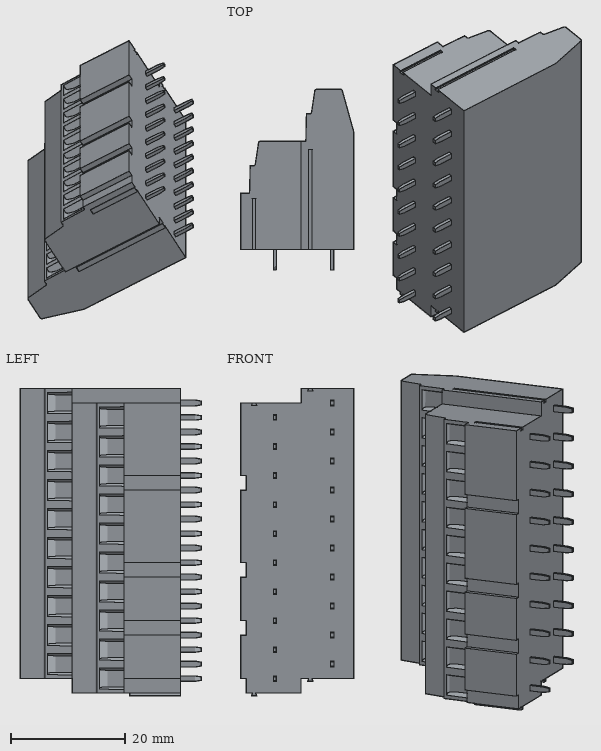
import cadquery as cq
import math


total_length = 53.85
body_depth = 19.85
body_height = 28.1
poles = 10

key_height = 0.5
pitch = (total_length - key_height) / (poles + 0.5)
half_pitch = pitch / 2
row_length = poles * pitch

row_shift_x = 9.85
pin_row_spacing = 10.0

sill_height = 9.9
sill_depth = 1.55
wall_top_x = 1.65
wall_top_y = 14.7
crest_foot_x = 2.55
crest_top_x = 3.2
crest_round = 0.4
foot_round = 0.25

edge_reach = 0.05

row_shift_y = (body_height - sill_height) / 2
row_top = sill_height + row_shift_y

upper_front_x = 10.6
rear_top_x = 17.75
rear_slope_y = 20.55

notch_depth = 0.95
notch_positions = (0, 2, 4, 7)

key_mouth_width = 0.6
key_tip_width = 0.95
lower_key_x = 2.35
lower_key_height = 8.95
upper_key_x = 12.2
upper_key_height = 17.5

entry_width = 3.75
entry_top_y = 14.2
entry_roof_round = 0.45
entry_slope_y = 12.75
entry_slope_lean = 0.3
entry_depth = 1.3
entry_side_angle = 19.5
entry_clearance = 0.25

pin_length = 3.6
pin_tip_length = 1.1
pin_root = 0.55
lower_pin_x = 6.05
lower_pin_size = (0.6, 0.95)
lower_pin_tip = (0.45, 0.65)
upper_pin_x = lower_pin_x + pin_row_spacing
upper_pin_size = (0.6, 1.1)
upper_pin_tip = (0.6, 0.7)


def row_front(upper):
    """Points up the stepped front face of a row, from the sill to the crest."""
    shift_x = row_shift_x if upper else 0
    shift_y = row_shift_y if upper else 0
    return [
        (sill_depth + shift_x, sill_height + shift_y),
        (wall_top_x + shift_x, wall_top_y + shift_y),
        (crest_foot_x + shift_x, wall_top_y + shift_y),
        (crest_top_x + shift_x, row_top + shift_y),
    ]


def round_edge(body, point, radius):
    """Round the edge along Z that passes through an XY point."""
    x, y = point
    box = cq.selectors.BoxSelector(
        (x - edge_reach, y - edge_reach, -total_length),
        (x + edge_reach, y + edge_reach, total_length),
    )
    return body.edges("|Z").edges(box).fillet(radius)


def lower_housing():
    front = row_front(upper=False)
    outline = [(0, 0), (0, sill_height)] + front + [(upper_front_x, row_top), (upper_front_x, 0)]
    body = cq.Workplane("XY").polyline(outline).close().extrude(row_length)
    body = round_edge(body, front[2], foot_round)
    return round_edge(body, front[3], crest_round)


def upper_housing():
    front = row_front(upper=True)
    rear_top = (rear_top_x, body_height)
    outline = [(upper_front_x, 0), (upper_front_x, row_top)] + front
    outline += [rear_top, (body_depth, rear_slope_y), (body_depth, 0)]
    body = cq.Workplane("XY", origin=(0, 0, half_pitch)).polyline(outline).close().extrude(row_length)
    body = round_edge(body, front[2], foot_round)
    body = round_edge(body, front[3], crest_round)
    return round_edge(body, rear_top, crest_round)


def notch(position):
    box = cq.Workplane("XY").box(notch_depth, sill_height, half_pitch, centered=False)
    return box.translate((0, 0, position * pitch))


def dovetail(x, height, base_z):
    """Dovetail bar that grows wider toward -Z from its narrow side at base_z."""
    outline = [
        (x - key_mouth_width / 2, base_z),
        (x + key_mouth_width / 2, base_z),
        (x + key_tip_width / 2, base_z - key_height),
        (x - key_tip_width / 2, base_z - key_height),
    ]
    return cq.Workplane("XZ").polyline(outline).close().extrude(-height)


def entry_pocket():
    """Wire entry of the lower row at Z = 0: a recess whose side walls close in with depth."""
    outside_x = sill_depth - entry_clearance
    back_x = sill_depth + entry_depth
    slope_top = (back_x - entry_slope_lean, entry_top_y)
    recess = (
        cq.Workplane("XY")
        .polyline(
            [
                (outside_x, entry_top_y),
                slope_top,
                (back_x, entry_slope_y),
                (back_x, sill_height),
                (outside_x, sill_height),
            ]
        )
        .close()
        .extrude(entry_width, both=True)
    )
    recess = round_edge(recess, slope_top, entry_roof_round)

    taper = math.tan(math.radians(entry_side_angle))
    mouth_half = entry_width / 2 + entry_clearance * taper
    back_half = entry_width / 2 - entry_depth * taper
    funnel = (
        cq.Workplane("XZ")
        .polyline(
            [
                (outside_x, -mouth_half),
                (outside_x, mouth_half),
                (back_x, back_half),
                (back_x, -back_half),
            ]
        )
        .close()
        .extrude(-body_height)
    )
    return recess.intersect(funnel)


def pin(x, size, tip_size):
    """Solder pin at Z = 0, rooted in the body and tapered at its free end."""
    shank_length = pin_length - pin_tip_length
    shank = cq.Workplane("XZ", origin=(x, pin_root, 0)).rect(*size).extrude(pin_root + shank_length)
    tip = cq.Workplane("XZ", origin=(x, -shank_length, 0)).rect(*size)
    tip = tip.workplane(offset=pin_tip_length).rect(*tip_size).loft()
    return shank.union(tip)


block = lower_housing().union(upper_housing())

for notch_position in notch_positions:
    block = block.cut(notch(notch_position))

for key_x, height, row_start in (
    (lower_key_x, lower_key_height, 0),
    (upper_key_x, upper_key_height, half_pitch),
):
    block = block.union(dovetail(key_x, height, row_start))
    block = block.cut(dovetail(key_x, height, row_start + row_length))

lower_entry = entry_pocket()
upper_entry = lower_entry.translate((row_shift_x, row_shift_y, 0))
lower_pin = pin(lower_pin_x, lower_pin_size, lower_pin_tip)
upper_pin = pin(upper_pin_x, upper_pin_size, upper_pin_tip)

for pole in range(poles):
    lower_z = (pole + 0.5) * pitch
    upper_z = lower_z + half_pitch
    block = block.cut(lower_entry.translate((0, 0, lower_z)))
    block = block.cut(upper_entry.translate((0, 0, upper_z)))
    block = block.union(lower_pin.translate((0, 0, lower_z)))
    block = block.union(upper_pin.translate((0, 0, upper_z)))

result = block